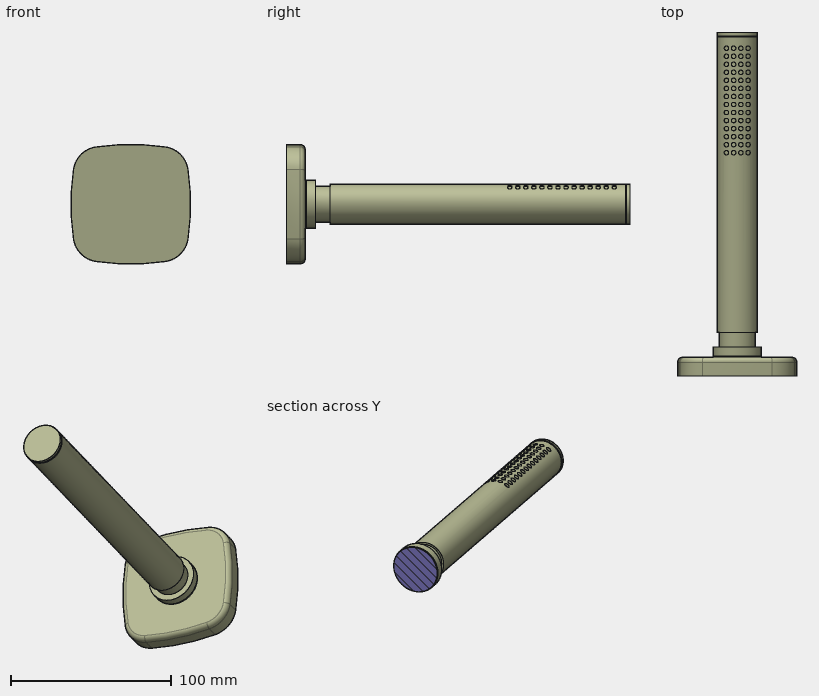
import cadquery as cq
import math

TOTAL_LENGTH = 213.8

PLATE_WIDTH = 74.6
PLATE_THICKNESS = 11.8
SIDE_HALF_CHORD = 21.5
SIDE_BOW = 1.6
PLATE_EDGE_RADIUS = 3.2

COLLAR_DIAMETER = 30.1
COLLAR_END = 18.2

NECK_DIAMETER = 22.5
NECK_END = 27.2

GROOVE_WIDTH = 0.6
GROOVE_DEPTH = 0.2

HANDLE_DIAMETER = 25.0
TIP_LENGTH = 2.1

SPRAY_COLUMNS = 4
SPRAY_ROWS = 14
SPRAY_COLUMN_PITCH = 4.5
SPRAY_FIELD_LENGTH = 65.0
SPRAY_ROW_PITCH = SPRAY_FIELD_LENGTH / (SPRAY_ROWS - 1)
SPRAY_DIAMETER = 2.8
SPRAY_LAST_ROW_INSET = 9.8
SPRAY_DEPTH = 0.1


def cylinder_along_y(diameter, start, end):
    """Solid cylinder on the Y axis between two Y positions."""
    plane = cq.Workplane("XZ", origin=(0, start, 0))
    return plane.circle(diameter / 2).extrude(start - end)


def make_plate():
    """Plate with four bowed sides, tangent corner arcs and a rounded back rim."""
    middle = PLATE_WIDTH / 2
    end = middle - SIDE_BOW
    chord = SIDE_HALF_CHORD

    side_end_angle = 2 * math.atan(SIDE_BOW / chord)
    corner_half_angle = math.pi / 4 - side_end_angle
    corner_half_chord = (end - chord) / math.sqrt(2)
    corner_bow = corner_half_chord * math.tan(corner_half_angle / 2)
    corner = (end + chord) / 2 + corner_bow / math.sqrt(2)

    outline = (
        cq.Workplane("XZ")
        .moveTo(-chord, end)
        .threePointArc((0, middle), (chord, end))
        .threePointArc((corner, corner), (end, chord))
        .threePointArc((middle, 0), (end, -chord))
        .threePointArc((corner, -corner), (chord, -end))
        .threePointArc((0, -middle), (-chord, -end))
        .threePointArc((-corner, -corner), (-end, -chord))
        .threePointArc((-middle, 0), (-end, chord))
        .threePointArc((-corner, corner), (-chord, end))
        .close()
    )
    return outline.extrude(-PLATE_THICKNESS).faces(">Y").edges().fillet(PLATE_EDGE_RADIUS)


def groove_around_y(diameter, start):
    """Ring to remove from a cylinder of the given diameter, beginning at the given Y."""
    end = start + GROOVE_WIDTH
    outside = cylinder_along_y(diameter, start, end)
    floor = cylinder_along_y(diameter - 2 * GROOVE_DEPTH, start, end)
    return outside.cut(floor)


def make_collar():
    body = cylinder_along_y(COLLAR_DIAMETER, PLATE_THICKNESS, COLLAR_END)
    return body.cut(groove_around_y(COLLAR_DIAMETER, PLATE_THICKNESS))


def make_neck():
    return cylinder_along_y(NECK_DIAMETER, COLLAR_END, NECK_END)


def spray_dimples():
    """Cutters for the dimples; each floor follows the round surface at a constant depth."""
    radius = HANDLE_DIAMETER / 2
    last_row = TOTAL_LENGTH - SPRAY_LAST_ROW_INSET
    columns_half_span = (SPRAY_COLUMNS - 1) / 2 * SPRAY_COLUMN_PITCH
    dimples = []
    for column in range(SPRAY_COLUMNS):
        x = column * SPRAY_COLUMN_PITCH - columns_half_span
        for row in range(SPRAY_ROWS):
            y = last_row - row * SPRAY_ROW_PITCH
            dimples.append(cq.Solid.makeCylinder(SPRAY_DIAMETER / 2, radius, cq.Vector(x, y, 0)))
    floor = cylinder_along_y(HANDLE_DIAMETER - 2 * SPRAY_DEPTH, NECK_END, TOTAL_LENGTH)
    return cq.Workplane(cq.Compound.makeCompound(dimples)).cut(floor)


def make_handle():
    groove_start = TOTAL_LENGTH - TIP_LENGTH - GROOVE_WIDTH
    body = cylinder_along_y(HANDLE_DIAMETER, NECK_END, TOTAL_LENGTH)
    return body.cut(groove_around_y(HANDLE_DIAMETER, groove_start)).cut(spray_dimples())


plate = make_plate()
collar = make_collar()
neck = make_neck()
handle = make_handle()

result = cq.Compound.makeCompound([plate.val(), collar.val(), neck.val(), handle.val()])